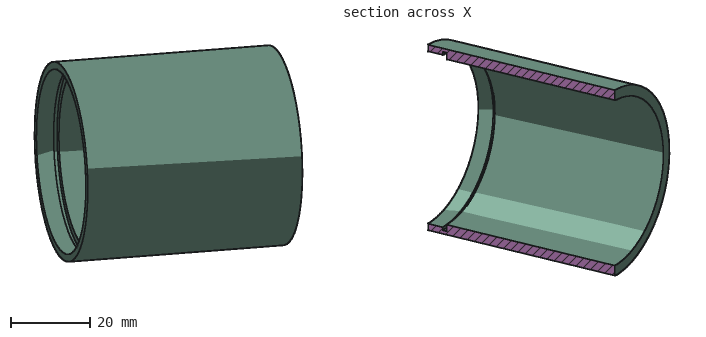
import cadquery as cq

length = 56.3
outer_diameter = 50.8
bore_diameter = 45.05
counterbore_diameter = 46.95
counterbore_depth = 5.65
relief_diameter = 48.65
relief_width = 1.1


def cylinder_along_y(diameter, start_y, height):
    """Solid cylinder on the Y axis, growing from start_y towards +Y."""
    axis_start = cq.Vector(0, start_y, 0)
    axis_direction = cq.Vector(0, 1, 0)
    return cq.Workplane(cq.Solid.makeCylinder(diameter / 2, height, axis_start, axis_direction))


front_y = -length / 2
body = cylinder_along_y(outer_diameter, front_y, length)
bore = cylinder_along_y(bore_diameter, front_y, length)
counterbore = cylinder_along_y(counterbore_diameter, front_y, counterbore_depth)
relief_y = front_y + counterbore_depth - relief_width
relief = cylinder_along_y(relief_diameter, relief_y, relief_width)

result = body.cut(bore).cut(counterbore).cut(relief)